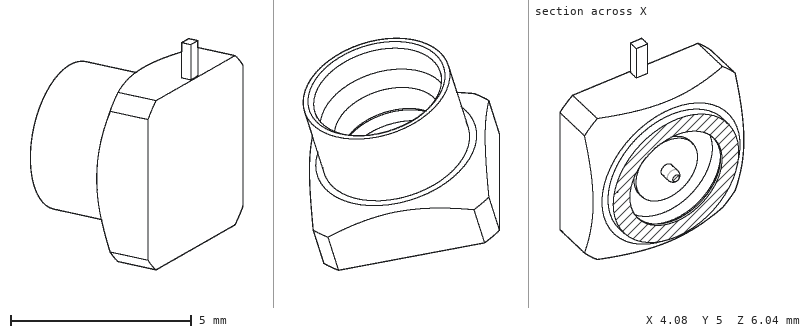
import cadquery as cq
import math

total_length = 4.08
barrel_length = 2.29
barrel_radius = 2.09

flange_width = 5.0
flange_corner_radius = 3.25
flange_face_radius = 2.29
flange_cone_angle = 30.0

mouth_radius = 1.95
entry_radius = 1.82
seat_radius = 1.52
mouth_chamfer = mouth_radius - entry_radius
entry_end = 0.905
seat_start = 1.32
bore_depth = 2.6

flare_start = 2.1
flare_length = 0.1
flare_angle = 30.0

insulator_radius = 1.02
insulator_height = 0.1
contact_radius = 0.19
contact_tip = 2.0

tab_thickness = 0.3
tab_width = 0.38
tab_height = 1.04
tab_back_gap = 0.04


def revolve_about_axis(profile):
    """Turn a closed profile of (x, radius) around the connector axis."""
    return profile.close().revolve(360, (0, 0, 0), (1, 0, 0))


def make_barrel():
    return cq.Workplane("YZ").circle(barrel_radius).extrude(total_length)


def make_flange():
    cone_length = (flange_corner_radius - flange_face_radius) * math.tan(math.radians(flange_cone_angle))
    turned_blank = revolve_about_axis(
        cq.Workplane("XY")
        .moveTo(barrel_length, 0)
        .lineTo(barrel_length, flange_face_radius)
        .lineTo(barrel_length + cone_length, flange_corner_radius)
        .lineTo(total_length, flange_corner_radius)
        .lineTo(total_length, 0)
    )
    square_bar = cq.Workplane("YZ").rect(flange_width, flange_width).extrude(total_length)
    return turned_blank.intersect(square_bar)


def make_bore():
    flare_end = flare_start + flare_length
    floor_radius = seat_radius + flare_length * math.tan(math.radians(flare_angle))
    return revolve_about_axis(
        cq.Workplane("XY")
        .lineTo(0, mouth_radius)
        .lineTo(mouth_chamfer, entry_radius)
        .lineTo(entry_end, entry_radius)
        .lineTo(seat_start, seat_radius)
        .lineTo(flare_start, seat_radius)
        .lineTo(flare_end, floor_radius)
        .lineTo(bore_depth, floor_radius)
        .lineTo(bore_depth, 0)
    )


def make_insulator():
    disc_front = bore_depth - insulator_height
    return (
        cq.Workplane("YZ", origin=(disc_front, 0, 0))
        .circle(insulator_radius)
        .extrude(total_length - disc_front)
    )


def make_contact():
    """Pin with a hemispherical tip."""
    shoulder = contact_tip + contact_radius
    arc_offset = contact_radius * math.sqrt(0.5)
    return revolve_about_axis(
        cq.Workplane("XY")
        .moveTo(contact_tip, 0)
        .threePointArc((shoulder - arc_offset, arc_offset), (shoulder, contact_radius))
        .lineTo(total_length, contact_radius)
        .lineTo(total_length, 0)
    )


def make_tab():
    tab_centre_x = total_length - tab_back_gap - tab_thickness / 2
    return (
        cq.Workplane("XY", origin=(tab_centre_x, 0, flange_width / 2))
        .rect(tab_thickness, tab_width)
        .extrude(tab_height)
    )


shell = make_barrel().union(make_flange()).cut(make_bore())
result = shell.union(make_insulator()).union(make_contact()).union(make_tab())